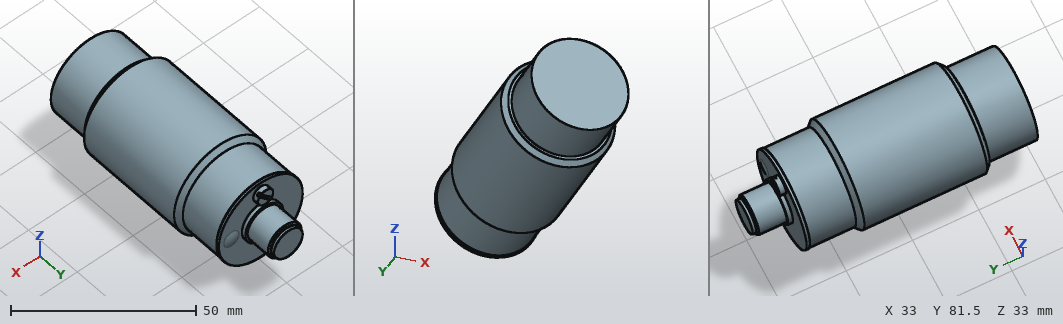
import cadquery as cq

total_length = 81.5
nose_diameter = 28.0
nose_length = 15.0
sleeve_diameter = 33.0
sleeve_front_diameter = 30.0
sleeve_length = 40.2
rear_diameter = 29.7

flange_diameter = 30.0
flange_thickness = 1.1
flange_face_y = 70.2

collar_diameter = 13.5
collar_height = 1.5
plug_diameter = 12.0
plug_chamfer = 0.5
tip_diameter = 10.3
tip_length = 1.1

screw_diameter = 5.5
screw_height = 1.95
screw_offset = 10.8
slot_width = 1.0
slot_depth = 1.0
slot_angle = 45.0

lens_diameter = 5.5
lens_height = 0.4
lens_offset = 10.5

embed = flange_thickness / 2


def cylinder(diameter, start_y, end_y, x=0.0, z=0.0):
    """Solid cylinder parallel to Y between two Y positions."""
    length = end_y - start_y
    return cq.Workplane(cq.Solid.makeCylinder(
        diameter / 2, length, cq.Vector(x, start_y, z), cq.Vector(0, 1, 0)))


def make_sleeve():
    """Thick middle sleeve, chamfered at 45 degrees down to a smaller face at each end."""
    front_chamfer = (sleeve_diameter - sleeve_front_diameter) / 2
    rear_chamfer = (sleeve_diameter - rear_diameter) / 2
    sleeve = cylinder(sleeve_diameter, nose_length, nose_length + sleeve_length)
    return sleeve.faces("<Y").chamfer(front_chamfer).faces(">Y").chamfer(rear_chamfer)


def make_body():
    nose = cylinder(nose_diameter, 0, nose_length + embed)
    rear = cylinder(rear_diameter, nose_length + sleeve_length - embed, flange_face_y)
    flange = cylinder(flange_diameter, flange_face_y - flange_thickness, flange_face_y)
    return make_sleeve().union(nose).union(rear).union(flange)


def make_connector():
    start_y = flange_face_y - embed
    plug_end_y = total_length - tip_length
    collar = cylinder(collar_diameter, start_y, flange_face_y + collar_height)
    plug = cylinder(plug_diameter, start_y, plug_end_y).faces(">Y").chamfer(plug_chamfer)
    tip = cylinder(tip_diameter, start_y, total_length)
    return collar.union(plug).union(tip)


def make_screw():
    """Screw head with a diagonal driver slot across its end face."""
    end_y = flange_face_y + screw_height
    head = cylinder(screw_diameter, flange_face_y - embed, end_y, z=screw_offset)
    slot = (
        cq.Workplane("XY")
        .box(2 * screw_diameter, 2 * slot_depth, slot_width)
        .rotate((0, 0, 0), (0, 1, 0), -slot_angle)
        .translate((0, end_y, screw_offset))
    )
    return head.cut(slot)


def make_lens():
    """Spherical cap whose rim circle lies on the flange face."""
    rim_radius = lens_diameter / 2
    sphere_radius = (rim_radius**2 + lens_height**2) / (2 * lens_height)
    return (
        cq.Workplane("XY", origin=(lens_offset, flange_face_y, 0))
        .moveTo(0, lens_height)
        .radiusArc((rim_radius, 0), sphere_radius)
        .lineTo(rim_radius, -embed)
        .lineTo(0, -embed)
        .close()
        .revolve(360, (0, 0), (0, 1))
    )


result = make_body().union(make_connector()).union(make_screw()).union(make_lens())